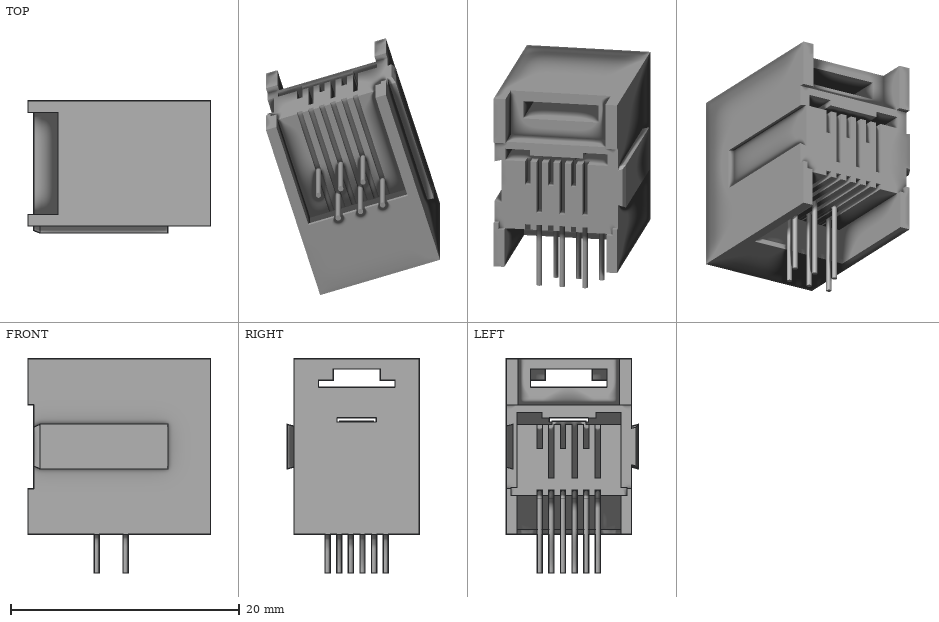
import cadquery as cq


length = 16.0
width = 11.0
height = 15.4
half_width = width / 2

relief_depth = 0.5
relief_bottom = 4.0
relief_top = 11.35

pocket_depth = 2.62
pocket_wall = 1.05

window_width = 6.68
window_bottom = 12.9
window_top = 14.48
stop_gap = 4.1
stop_bottom = 13.5
stop_thickness = 1.0

chamber_width = 9.1
chamber_top = 10.7
chamber_end = 10.0
key_width = 4.74
key_bottom = 10.2
lip_height = 0.43
lip_depth = 0.5

vent_width = 3.42
vent_bottom = 9.86

rail_start = relief_depth
rail_end = 12.27
rail_middle = 7.69
rail_height = 0.6
rail_root_half = 1.8
rail_tip_half = 1.96
lead_in_length = 0.56
lead_in_height = 0.38
lead_in_root_half = 1.6
lead_in_tip_half = 1.7

insert_front = relief_depth
insert_bottom = 3.4
insert_top = 9.64
flange_width = 10.16
flange_top = 4.11
crest_width = 2.98
crest_top = 9.92
slot_depth = 1.2

wire_count = 6
wire_pitch = 1.02
wire_diameter = 0.47
wire_radius = wire_diameter / 2
wire_bottom = -3.4
bend_radius = 0.5
row_x = (6.03, 8.56)
slot_bottoms = (7.52, 4.96)
wire_axis_z = insert_bottom + wire_radius
wire_ys = [((wire_count - 1) / 2 - i) * wire_pitch for i in range(wire_count)]


def block(x_range, span_y, z_range):
    """Box centred on Y, given its X range, its width along Y and its Z range."""
    x0, x1 = x_range
    z0, z1 = z_range
    return (
        cq.Workplane("XY")
        .box(x1 - x0, span_y, z1 - z0, centered=(False, True, False))
        .translate((x0, 0, z0))
    )


def dovetail(x, root_half, tip_half, rail_rise):
    """Dovetail section at x, standing on the -Y face of the housing."""
    root_y = -half_width
    tip_y = root_y - rail_rise
    return cq.Workplane("YZ", origin=(x, 0, rail_middle)).polyline(
        [(root_y, -root_half), (tip_y, -tip_half), (tip_y, tip_half), (root_y, root_half)]
    ).close()


def make_rail():
    lead_in_end = rail_start + lead_in_length
    bar = dovetail(lead_in_end, rail_root_half, rail_tip_half, rail_height).extrude(rail_end - lead_in_end)
    small_end = dovetail(rail_start, lead_in_root_half, lead_in_tip_half, lead_in_height)
    large_end = dovetail(lead_in_end, rail_root_half, rail_tip_half, rail_height)
    sections = [cq.Wire.assembleEdges(end.vals()[0].Edges()) for end in (small_end, large_end)]
    lead_in = cq.Workplane(cq.Solid.makeLoft(sections, True))
    return bar.union(lead_in)


def make_groove():
    """Cutter with the full rail section, sunk into the +Y face."""
    section = dovetail(rail_start, rail_root_half, rail_tip_half, rail_height)
    return section.extrude(rail_end - rail_start).translate((0, width, 0))


def make_window():
    wide = block((pocket_depth, length - stop_thickness), window_width, (window_bottom, window_top))
    low = block((pocket_depth, length), window_width, (window_bottom, stop_bottom))
    narrow = block((pocket_depth, length), stop_gap, (window_bottom, window_top))
    return wide.union(low).union(narrow)


def make_chamber():
    room = block((0, chamber_end), chamber_width, (0, chamber_top))
    key = block((0, chamber_end), key_width, (key_bottom, chamber_top))
    lip = block((chamber_end - lip_depth, chamber_end), chamber_width, (0, lip_height))
    flange_slot = block((0, chamber_end), flange_width, (insert_bottom, flange_top))
    return room.cut(key).cut(lip).union(flange_slot)


def make_housing():
    pocket_width = width - 2 * pocket_wall
    body = block((0, length), width, (0, height))
    body = body.cut(block((0, relief_depth), width, (relief_bottom, relief_top)))
    body = body.cut(block((0, pocket_depth), pocket_width, (relief_top, height)))
    body = body.cut(make_window())
    body = body.cut(make_chamber())
    body = body.cut(block((chamber_end, length), vent_width, (vent_bottom, key_bottom)))
    body = body.cut(make_groove())
    return body.union(make_rail())


def make_insert():
    slot_floor = insert_front + slot_depth
    body = block((insert_front, chamber_end), chamber_width, (insert_bottom, insert_top))
    body = body.union(block((insert_front, chamber_end), flange_width, (insert_bottom, flange_top)))
    body = body.union(block((slot_floor, chamber_end), crest_width, (insert_top, crest_top)))
    groove_top = insert_bottom + wire_diameter
    for i, y in enumerate(wire_ys):
        slot_bottom = slot_bottoms[i % len(slot_bottoms)]
        front_slot = block((insert_front, slot_floor), wire_diameter, (slot_bottom, insert_top))
        wire_groove = block((insert_front, chamber_end), wire_diameter, (insert_bottom, groove_top))
        body = body.cut(front_slot.translate((0, y, 0)))
        body = body.cut(wire_groove.translate((0, y, 0)))
    return body


def make_wire(x, y):
    """Upright pin that bends under the insert and runs along its groove to the chamber end."""
    bend_start = wire_axis_z - bend_radius
    bend_end = x + bend_radius
    path = (
        cq.Workplane("XZ", origin=(0, y, 0))
        .moveTo(x, wire_bottom)
        .lineTo(x, bend_start)
        .tangentArcPoint((bend_end, wire_axis_z), relative=False)
        .lineTo(chamber_end, wire_axis_z)
    )
    return cq.Workplane("XY", origin=(x, y, wire_bottom)).circle(wire_radius).sweep(path)


housing = make_housing()
insert = make_insert()
wires = [make_wire(row_x[i % len(row_x)], y) for i, y in enumerate(wire_ys)]

result = cq.Compound.makeCompound([housing.val(), insert.val(), *[wire.val() for wire in wires]])